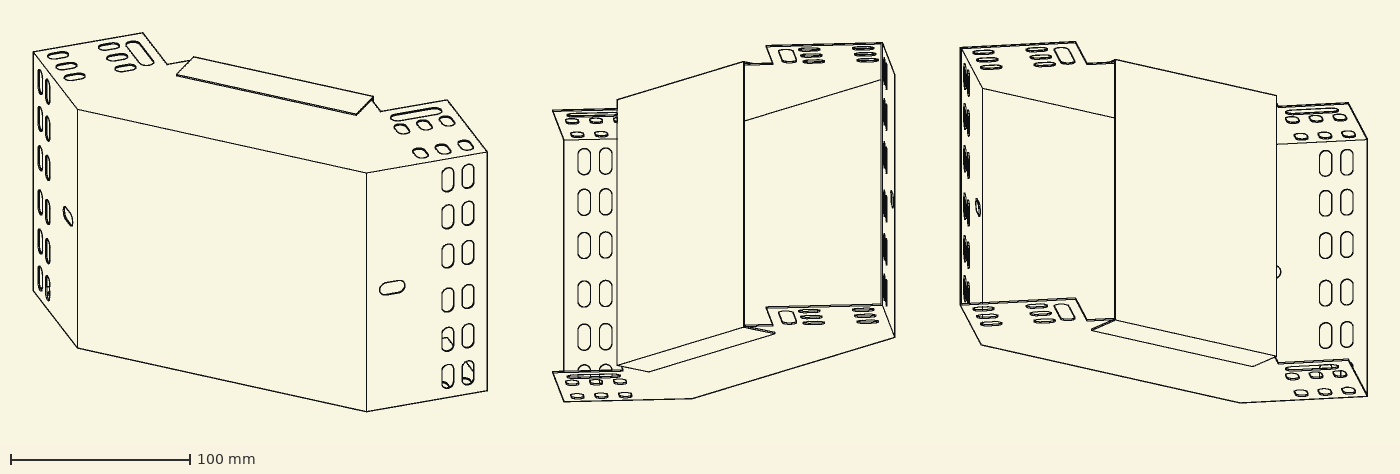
import cadquery as cq
import math

sheet = 0.8
tray_length = 279.8
tray_depth = 97.0
tray_height = 151.7
bend_angle = 45.0
wing_run = 51.0
notch_drop = 28.0

bracket_width = 110.8
bracket_back = 82.0
bracket_reach = 23.0

plate_slot_size = (12.0, 7.0)
plate_slot_alongs = (11.8, 42.0)
plate_slot_depths = (8.7, 22.0, 35.5)
long_slot_size = (30.0, 8.0)
long_slot_along = 55.5
long_slot_depth = plate_slot_depths[1]

wall_slot_size = (15.0, 7.0)
wall_slot_distances = (11.5, 23.5)
wall_slot_heights = (14.0, 39.0, 62.5)
center_slot_size = (15.0, 7.8)
center_slot_distance = 56.5

half_length = tray_length / 2
front_half = half_length - wing_run
end_rise = tray_depth - wing_run
tip_x = half_length - end_rise
notch_x = tip_x - notch_drop
notch_y = tray_depth - notch_drop
tray_back = bracket_back - sheet
back_half = notch_x - (tray_back - notch_y)
bracket_height = tray_height + 2 * sheet

wing_corner = (half_length, wing_run, 0)
along_end = cq.Vector(-1, 1, 0).normalized()
into_wing = cq.Vector(-1, -1, 0).normalized()


def both_wings(cutter):
    """Return a right-wing cutter together with its mirror image on the left."""
    return cutter.union(cutter.mirror("YZ"))


def plate_slots():
    """Slots that pass through the upper and lower side plates of both wings."""
    plane = cq.Plane(origin=wing_corner, xDir=along_end, normal=(0, 0, 1))
    places = [(along, depth) for along in plate_slot_alongs for depth in plate_slot_depths]
    small = cq.Workplane(plane).pushPoints(places).slot2D(*plate_slot_size)
    small = small.extrude(tray_height, both=True)
    long = cq.Workplane(plane).center(long_slot_along, long_slot_depth)
    long = long.slot2D(*long_slot_size, 90).extrude(tray_height, both=True)
    return both_wings(small.union(long))


def wall_slots():
    """Slots that pass through the sloping wall of both wings."""
    plane = cq.Plane(origin=wing_corner, xDir=into_wing, normal=along_end)
    cut_depth = 2 * sheet
    places = [
        (distance, side * height)
        for distance in wall_slot_distances
        for height in wall_slot_heights
        for side in (-1, 1)
    ]
    upright = cq.Workplane(plane).pushPoints(places).slot2D(*wall_slot_size, 90)
    upright = upright.extrude(cut_depth, both=True)
    center = cq.Workplane(plane).center(center_slot_distance, 0).slot2D(*center_slot_size)
    center = center.extrude(cut_depth, both=True)
    return both_wings(upright.union(center))


def make_tray():
    """Trough with a front wall, two sloping walls and two side plates."""
    right_side = [
        (front_half, 0),
        (half_length, wing_run),
        (tip_x, tray_depth),
        (notch_x, notch_y),
        (back_half, tray_back),
    ]
    left_side = [(-x, y) for x, y in reversed(right_side)]
    block = cq.Workplane("XY").polyline(right_side + left_side).close()
    block = block.extrude(tray_height / 2, both=True)

    inner_half = front_half - sheet * math.tan(math.radians(bend_angle / 2))
    outer_half = inner_half + tray_depth / math.tan(math.radians(bend_angle))
    cavity_back = sheet + tray_depth
    cavity = cq.Workplane("XY").polyline([
        (-inner_half, sheet),
        (inner_half, sheet),
        (outer_half, cavity_back),
        (-outer_half, cavity_back),
    ]).close().extrude(tray_height / 2 - sheet, both=True)

    return block.cut(cavity).cut(plate_slots()).cut(wall_slots())


def make_bracket():
    """C-shaped bracket that closes the rear and laps over both side plates."""
    flange_center_y = bracket_back - bracket_reach / 2
    outer = cq.Workplane("XY").box(bracket_width, bracket_reach, bracket_height)
    inner = cq.Workplane("XY").box(bracket_width, bracket_reach, tray_height)
    return outer.cut(inner.translate((0, -sheet, 0))).translate((0, flange_center_y, 0))


tray = make_tray()
bracket = make_bracket()

result = cq.Compound.makeCompound([tray.solids().val(), bracket.solids().val()])